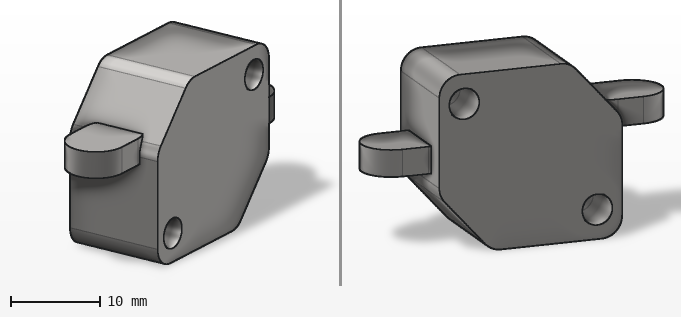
import cadquery as cq

body_thickness = 12.0
body_length = 22.02
body_height = 20.95
corner_cut_y = 6.28
corner_cut_z = 6.93
corner_radius = 2.5

hole_diameter = 3.6
hole_y = 8.0
hole_z = 7.0

overall_length = 36.1
tab_width = 7.08
tab_thickness = 3.18
tab_straight_length = 3.1
tab_shared_z = 1.7

half_length = body_length / 2
half_height = body_height / 2


def make_body():
    outline = [
        (half_length, half_height),
        (-half_length + corner_cut_y, half_height),
        (-half_length, half_height - corner_cut_z),
        (-half_length, -half_height),
        (half_length - corner_cut_y, -half_height),
        (half_length, -half_height + corner_cut_z),
    ]
    return (
        cq.Workplane("YZ")
        .polyline(outline)
        .close()
        .extrude(body_thickness / 2, both=True)
        .edges("|X")
        .fillet(corner_radius)
    )


def make_holes():
    return (
        cq.Workplane("YZ")
        .pushPoints([(hole_y, hole_z), (-hole_y, -hole_z)])
        .circle(hole_diameter / 2)
        .extrude(body_thickness, both=True)
    )


def make_tab(side, bottom_z):
    """Slot-shaped tab; side is +1 or -1 for the +Y or -Y end."""
    tab_length = tab_straight_length + tab_width
    center_y = side * (overall_length - tab_length) / 2
    return (
        cq.Workplane("XY", origin=(0, center_y, bottom_z))
        .slot2D(tab_length, tab_width, 90)
        .extrude(tab_thickness)
    )


result = (
    make_body()
    .union(make_tab(-1, tab_shared_z))
    .union(make_tab(1, tab_shared_z - tab_thickness))
    .cut(make_holes())
)